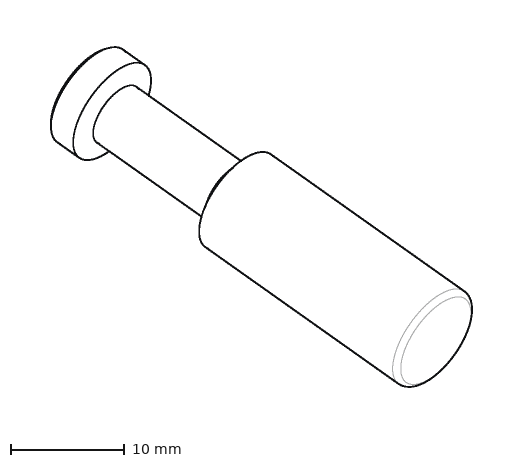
import cadquery as cq
import math

length = 42.0
outer_radius = 5.0
neck_radius = 3.005
shoulder_height = outer_radius - neck_radius

head_cone_angle = math.radians(15)
body_cone_angle = math.radians(60)

head_rim_end = 3.0
neck_start = head_rim_end + shoulder_height * math.tan(head_cone_angle)
neck_end = 17.0
body_start = neck_end + shoulder_height / math.tan(body_cone_angle)

head_chamfer = 0.3
tail_fillet = 0.5
arc_offset = tail_fillet * (1 - math.sqrt(0.5))

profile = (
    cq.Workplane("XY")
    .moveTo(0, 0)
    .lineTo(0, outer_radius - head_chamfer)
    .lineTo(head_chamfer, outer_radius)
    .lineTo(head_rim_end, outer_radius)
    .lineTo(neck_start, neck_radius)
    .lineTo(neck_end, neck_radius)
    .lineTo(body_start, outer_radius)
    .lineTo(length - tail_fillet, outer_radius)
    .threePointArc(
        (length - arc_offset, outer_radius - arc_offset),
        (length, outer_radius - tail_fillet),
    )
    .lineTo(length, 0)
    .close()
)

result = profile.revolve(360, (0, 0, 0), (1, 0, 0))